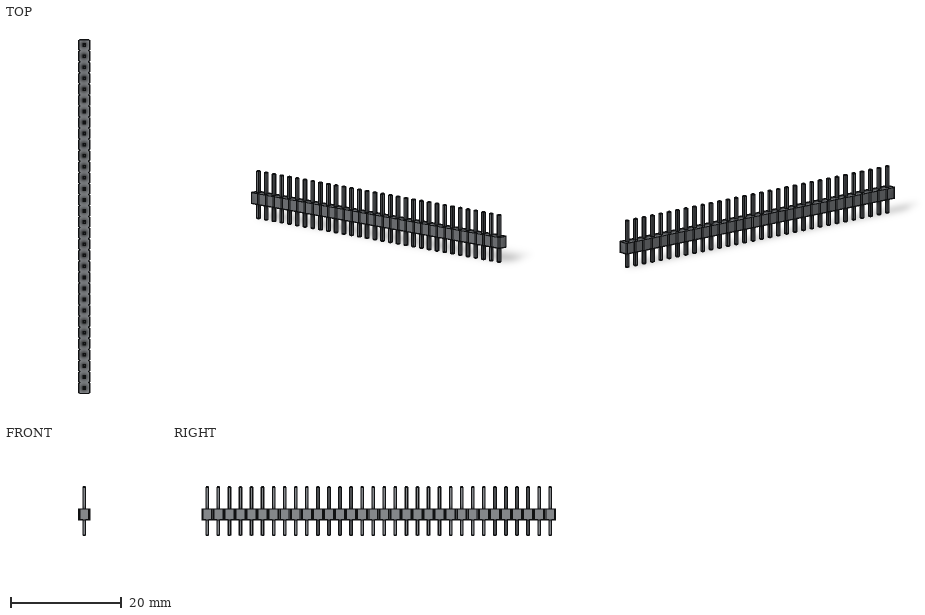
import cadquery as cq


row_length = 64.0
pin_count = 32
corner_bevel = 0.2
pin_side = 0.5
pin_below_body = 2.8
tip_bevel = 0.1

pitch = row_length / pin_count
body_width = pitch
body_height = pitch
pin_above_body = 2 * pitch
pin_length = pin_below_body + body_height + pin_above_body
first_pin_y = -(pin_count - 1) / 2 * pitch


def make_block():
    """One cube of the body, with bevelled upright edges."""
    block = cq.Workplane("XY").rect(body_width, pitch).extrude(body_height)
    return block.edges("|Z").chamfer(corner_bevel)


def make_pin():
    """One square pin, bevelled at both ends."""
    bottom = cq.Workplane("XY", origin=(0, 0, -pin_below_body))
    pin = bottom.rect(pin_side, pin_side).extrude(pin_length)
    return pin.faces("<Z or >Z").chamfer(tip_bevel)


cell = make_block().union(make_pin())
result = cq.Workplane("XY")
for i in range(pin_count):
    result = result.union(cell.translate((0, first_pin_y + i * pitch, 0)))